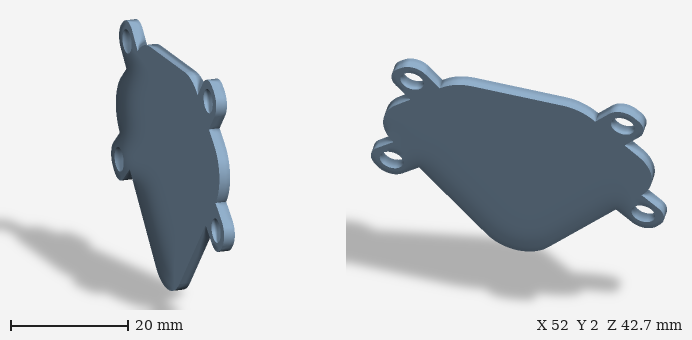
import cadquery as cq
import math

thickness = 2.0
body_height = 41.0
body_half_width = 23.8
corner_radius = 7.1
top_corner_radius = 8.1
shoulder_height = 26.45
top_edge_half_length = 8.0

hole_diameter = 4.2
lug_half_width = 3.5
lug_corner_radius = 3.0
lug_root_length = 7.8
upper_hole_x = 18.65
upper_hole_z = 38.95
lower_hole_x = 22.3
lower_hole_z = 16.85

tip_z = corner_radius
shoulder_x = body_half_width - corner_radius
top_z = body_height - top_corner_radius

lower_lug_angle = -math.degrees(math.atan2(shoulder_x, shoulder_height - tip_z))
upper_lug_angle = 90 + lower_lug_angle


def front_plane():
    """Plane on the back face of the plate, extruding toward -Y."""
    return cq.Workplane("XZ", origin=(0, thickness / 2, 0))


def arc_point(center_x, center_z, radius, angle):
    """Point on a circle, with the angle in degrees from +X toward +Z."""
    turn = math.radians(angle)
    return (center_x + radius * math.cos(turn), center_z + radius * math.sin(turn))


def make_body():
    """Right half of the outline, mirrored about the vertical centre line."""
    right_half = (
        front_plane()
        .threePointArc(
            arc_point(0, tip_z, corner_radius, (lower_lug_angle - 90) / 2),
            arc_point(0, tip_z, corner_radius, lower_lug_angle),
        )
        .lineTo(*arc_point(shoulder_x, shoulder_height, corner_radius, lower_lug_angle))
        .threePointArc(
            (body_half_width, shoulder_height),
            arc_point(shoulder_x, shoulder_height, corner_radius, upper_lug_angle),
        )
        .lineTo(*arc_point(top_edge_half_length, top_z, top_corner_radius, upper_lug_angle))
        .threePointArc(
            arc_point(top_edge_half_length, top_z, top_corner_radius, (90 + upper_lug_angle) / 2),
            (top_edge_half_length, body_height),
        )
        .lineTo(0, body_height)
    )
    return right_half.mirrorY().extrude(thickness)


def make_lug(hole_x, hole_z, angle):
    """Bar on the right side with a rounded outer end, pointing outward at the given angle."""
    length = lug_half_width + lug_root_length
    bar = (
        front_plane()
        .center((lug_half_width - lug_root_length) / 2, 0)
        .rect(length, 2 * lug_half_width)
        .extrude(thickness)
        .edges("|Y and >X")
        .fillet(lug_corner_radius)
    )
    return bar.rotate((0, 0, 0), (0, 1, 0), -angle).translate((hole_x, 0, hole_z))


lugs = [
    (upper_hole_x, upper_hole_z, upper_lug_angle),
    (lower_hole_x, lower_hole_z, lower_lug_angle),
]

result = make_body()
for hole_x, hole_z, angle in lugs:
    lug = make_lug(hole_x, hole_z, angle)
    result = result.union(lug).union(lug.mirror("YZ"))

hole_points = [(side * x, z) for x, z, _ in lugs for side in (-1, 1)]
holes = front_plane().pushPoints(hole_points).circle(hole_diameter / 2).extrude(thickness)
result = result.cut(holes)